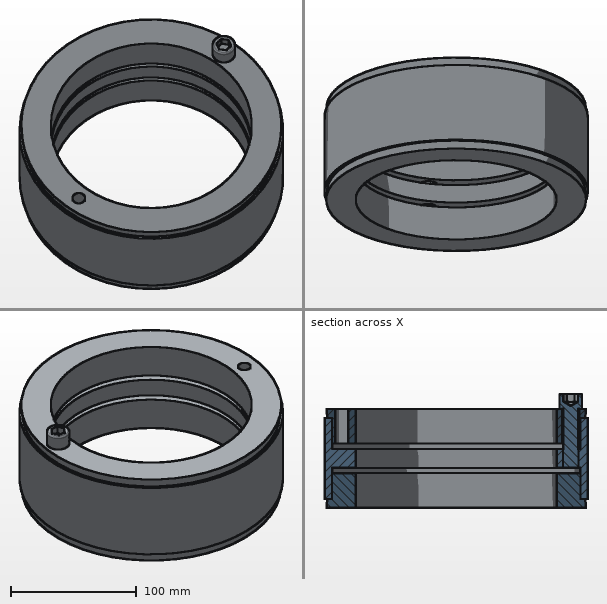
import cadquery as cq
import math

outer_diameter = 210.0
bore_diameter = 160.0
stack_height = 79.0
flange_height = 7.1
flange_outer_radius = 103.5
flange_inner_radius = 103.0
cap_height = 27.7
hub_radius = 98.7
cap_gap = 4.2

hole_circle_radius = 91.1
jack_hole_diameter = 10.0
clearance_diameter = 13.5
shank_diameter = 12.0
head_diameter = 18.0
head_height = 12.0
head_fillet = 1.3
socket_width = 10.0
socket_depth = 6.0
socket_cone_angle = 120.0

bore_radius = bore_diameter / 2
housing_top = stack_height - flange_height
land_bottom = cap_height + cap_gap
land_top = stack_height - land_bottom
cap_bottom = stack_height - cap_height


def revolve_profile(points):
    """Turn an outline of (radius, height) points around the Z axis."""
    return cq.Workplane("XZ").polyline(points).close().revolve(360, (0, 0), (0, 1))


def vertical_cylinder(y, diameter, bottom, top):
    """A cylinder along Z, centred at X = 0."""
    return cq.Workplane("XY", origin=(0, y, bottom)).circle(diameter / 2).extrude(top - bottom)


def make_housing():
    """Sleeve with an inner land; the land takes the end of the screw."""
    outer_radius = outer_diameter / 2
    sleeve = revolve_profile([
        (outer_radius, flange_height),
        (outer_radius, housing_top),
        (hub_radius, housing_top),
        (hub_radius, land_top),
        (bore_radius, land_top),
        (bore_radius, land_bottom),
        (hub_radius, land_bottom),
        (hub_radius, flange_height),
    ])
    return sleeve.cut(vertical_cylinder(hole_circle_radius, shank_diameter, land_bottom, land_top))


def make_plain_cap():
    """Lower cap: a tapered flange with a hub that fits inside the housing."""
    return revolve_profile([
        (bore_radius, 0),
        (flange_outer_radius, 0),
        (flange_inner_radius, flange_height),
        (hub_radius, flange_height),
        (hub_radius, cap_height),
        (bore_radius, cap_height),
    ])


def make_drilled_cap():
    """Upper cap: the plain cap turned over, with a screw hole and a jacking hole."""
    middle = stack_height / 2
    cap = make_plain_cap().mirror("XY", (0, 0, middle))
    screw_hole = vertical_cylinder(hole_circle_radius, clearance_diameter, cap_bottom, stack_height)
    jack_hole = vertical_cylinder(-hole_circle_radius, jack_hole_diameter, cap_bottom, stack_height)
    return cap.cut(screw_hole).cut(jack_hole)


def make_socket(head_top):
    """Hexagonal recess, corners toward +Y and -Y, with a conical floor."""
    corner_radius = socket_width / math.sqrt(3)
    cone_depth = corner_radius / math.tan(math.radians(socket_cone_angle / 2))
    floor = head_top - socket_depth
    tip = floor - cone_depth
    hexagon = (
        cq.Workplane("XY", origin=(0, hole_circle_radius, tip))
        .transformed(rotate=(0, 0, 90))
        .polygon(6, 2 * corner_radius)
        .extrude(head_top - tip)
    )
    drill = revolve_profile([
        (0, tip),
        (corner_radius, floor),
        (corner_radius, head_top),
        (0, head_top),
    ]).translate((0, hole_circle_radius, 0))
    return hexagon.intersect(drill)


def make_screw():
    """Socket head screw seated on the upper cap and ending flush with the land."""
    head_top = stack_height + head_height
    head = vertical_cylinder(hole_circle_radius, head_diameter, stack_height, head_top)
    head = head.faces(">Z").edges().fillet(head_fillet)
    shank = vertical_cylinder(hole_circle_radius, shank_diameter, land_bottom, stack_height)
    return head.union(shank).cut(make_socket(head_top))


housing = make_housing()
lower_cap = make_plain_cap()
upper_cap = make_drilled_cap()
screw = make_screw()

result = cq.Compound.makeCompound([housing.val(), lower_cap.val(), upper_cap.val(), screw.val()])